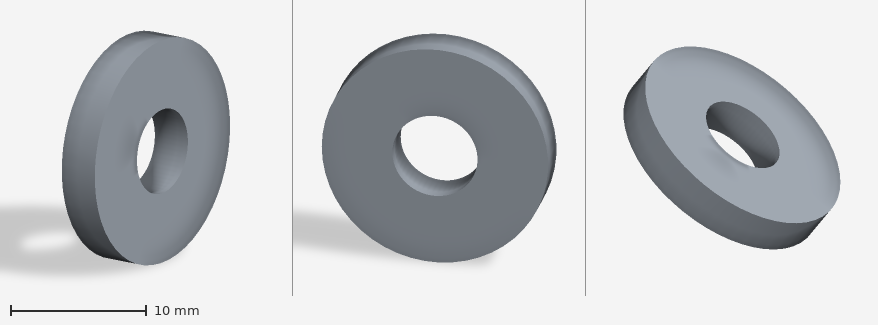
import cadquery as cq

outer_diameter = 17.0
hole_diameter = 6.4
thickness = 3.0

result = (
    cq.Workplane("YZ")
    .circle(outer_diameter / 2)
    .circle(hole_diameter / 2)
    .extrude(thickness)
)